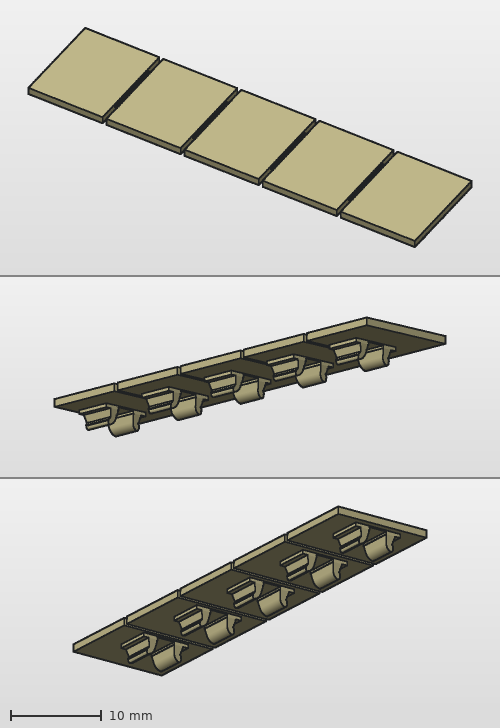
import cadquery as cq

TILE_COUNT = 5
STRIP_LENGTH = 50.0
TILE_GAP = 0.5
TILE_LENGTH = (STRIP_LENGTH - (TILE_COUNT - 1) * TILE_GAP) / TILE_COUNT
TILE_PITCH = TILE_LENGTH + TILE_GAP
TILE_WIDTH = 12.0
TILE_THICKNESS = 0.9

HINGE_WIDTH = 6.9
HINGE_THICKNESS = 0.35
HINGE_TOP = -0.05
HINGE_BOTTOM = HINGE_TOP - HINGE_THICKNESS
HINGE_GROOVE_DEPTH = 0.1
HINGE_GROOVE_WIDTH = 2 * HINGE_GROOVE_DEPTH

CLIP_PITCH = 10.0
CLIP_ROW_OFFSET = 2.0
CLIP_BOTTOM = -3.1
CLIP_ROOT_LENGTH = 4.3
CLIP_TIP_LENGTH = 3.4

FOOT_WIDTH = 6.0
FOOT_BOTTOM = -1.35
FOOT_RECESS_WIDTH = 2.2
FOOT_RECESS_TOP = -1.05

ROOT_INNER = (1.15, FOOT_BOTTOM)
ROOT_OUTER = (2.35, FOOT_BOTTOM)
WAIST = (2.1, -2.25)
LIP_TOP = (2.3, -2.55)
LIP_BOTTOM = (2.3, -2.65)
LIP_ROUND_MIDDLE = (2.3, -2.9)
TIP = (2.1, CLIP_BOTTOM)
INNER_CURVE_MIDDLE = (1.6, -2.85)
INNER_BEND = (1.3, -2.3)


def centred_positions(count, pitch):
    """X positions of a row of equally spaced features centred on zero."""
    return [(i - (count - 1) / 2) * pitch for i in range(count)]


def block(length, width, bottom, top):
    """Box centred on the Z axis between two heights."""
    return (
        cq.Workplane("XY", origin=(0, 0, bottom))
        .rect(length, width)
        .extrude(top - bottom)
    )


def hinge():
    """Web between two tiles with a V groove along the middle of its top."""
    return (
        cq.Workplane("XZ")
        .polyline([
            (-TILE_GAP / 2, HINGE_BOTTOM),
            (TILE_GAP / 2, HINGE_BOTTOM),
            (TILE_GAP / 2, HINGE_TOP),
            (HINGE_GROOVE_WIDTH / 2, HINGE_TOP),
            (0, HINGE_TOP - HINGE_GROOVE_DEPTH),
            (-HINGE_GROOVE_WIDTH / 2, HINGE_TOP),
            (-TILE_GAP / 2, HINGE_TOP),
        ])
        .close()
        .extrude(HINGE_WIDTH / 2, both=True)
    )


def hook():
    """Hook on the +Y side whose ends narrow from root to tip."""
    prism = (
        cq.Workplane("YZ")
        .moveTo(*ROOT_INNER)
        .lineTo(*ROOT_OUTER)
        .lineTo(*WAIST)
        .lineTo(*LIP_TOP)
        .lineTo(*LIP_BOTTOM)
        .threePointArc(LIP_ROUND_MIDDLE, TIP)
        .threePointArc(INNER_CURVE_MIDDLE, INNER_BEND)
        .close()
        .extrude(CLIP_ROOT_LENGTH / 2, both=True)
    )
    taper = (
        cq.Workplane("XZ")
        .polyline([
            (-CLIP_ROOT_LENGTH / 2, FOOT_BOTTOM),
            (CLIP_ROOT_LENGTH / 2, FOOT_BOTTOM),
            (CLIP_TIP_LENGTH / 2, CLIP_BOTTOM),
            (-CLIP_TIP_LENGTH / 2, CLIP_BOTTOM),
        ])
        .close()
        .extrude(FOOT_WIDTH / 2, both=True)
    )
    return prism.intersect(taper)


def clip():
    """Recessed foot with two mirrored hooks."""
    foot = block(CLIP_ROOT_LENGTH, FOOT_WIDTH, FOOT_BOTTOM, -TILE_THICKNESS)
    recess = block(CLIP_ROOT_LENGTH, FOOT_RECESS_WIDTH, FOOT_BOTTOM, FOOT_RECESS_TOP)
    hook_shape = hook()
    return foot.cut(recess).union(hook_shape).union(hook_shape.mirror("XZ"))


def row(shape, positions):
    """Copies of a shape at the given X positions."""
    copies = cq.Workplane("XY")
    for x in positions:
        copies = copies.union(shape.translate((x, 0, 0)))
    return copies


tile = block(TILE_LENGTH, TILE_WIDTH, -TILE_THICKNESS, 0)
clip_positions = [x + CLIP_ROW_OFFSET for x in centred_positions(TILE_COUNT, CLIP_PITCH)]

tiles = row(tile, centred_positions(TILE_COUNT, TILE_PITCH))
hinges = row(hinge(), centred_positions(TILE_COUNT - 1, TILE_PITCH))
clips = row(clip(), clip_positions)

result = tiles.union(hinges).union(clips)